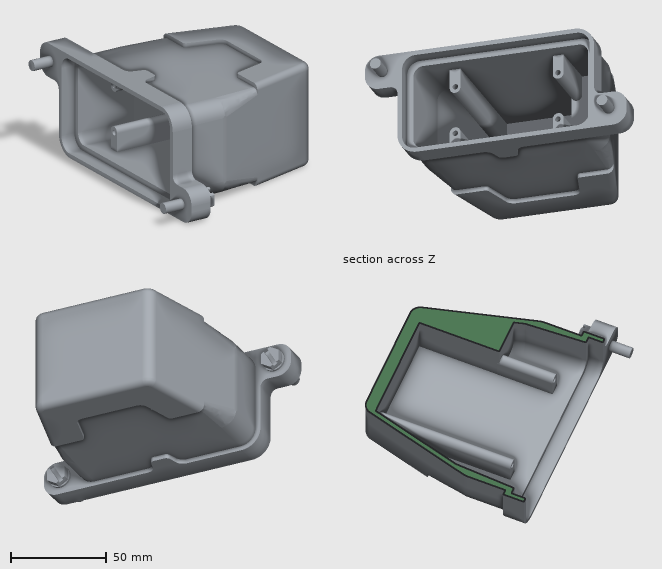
import cadquery as cq
import math


flange_half_x = 54.5
half_height = 29.0
flange_thickness = 12.0
flange_corner_radius = 10.9
ear_tip_x = 72.5
ear_height = 19.0
ear_corner_radius = 7.7
ear_root_radius = 4.0

tab_top_y = 22.0
tab_base_half_x = 7.7
tab_top_radius = 2.5
tab_root_radius = 4.8

taper_angle = 15.0
body_half_x = 51.6
body_half_z = 26.5
body_corner_radius = 8.7
bend_y = 34.7
bend_radius = 10.2
step_y = 59.3
step_corner_radius = 3.3
top_y = 100.3
top_corner_radius = 6.0
top_edge_radius = 3.3

notch_top_y = 80.2
notch_top_half_x = 19.5
notch_top_radius = 4.6
notch_root_radius = 2.2

mouth_half_x = 51.9
mouth_depth = 8.1
mouth_corner_radius = 7.2
cavity_half_x = 48.5
cavity_half_z = 23.3
cavity_corner_radius = 5.4
draft_angle = 3.0
cavity_bend_y = 42.0
deep_floor_y = 93.4
shallow_floor_y = 47.8
floor_step_x = 25.7

rib_x = 28.5
rib_width = 6.0
rib_tip_z = 9.9
rib_start_y = 17.5
rib_overlap = 1.5
rib_hole_x = 28.4
rib_hole_z = 13.3
rib_hole_diameter = 3.0
rib_hole_depth = 14.5

screw_x = 62.8
screw_z = 19.5
pin_diameter = 6.0
pin_length = 11.6
washer_diameter = 12.0
washer_thickness = 1.3
head_across_flats = 10.3
head_height = 4.0
head_sides = 6
slot_width = 2.5
slot_depth = 1.6
slot_angle = 60.0

taper = math.tan(math.radians(taper_angle))
draft = math.tan(math.radians(draft_angle))


def body_side_x(y):
    """Half width of the hood on its tapered stretch."""
    return body_half_x - (y - bend_y) * taper


def prism_z(points, z_low, z_high):
    """Extrude an outline in X and Y between two heights."""
    return cq.Workplane("XY").workplane(offset=z_low).polyline(points).close().extrude(z_high - z_low)


def plane_across(y):
    """Workplane across the hood axis with its local y along Z; negative extrusions run toward +Y."""
    return cq.Workplane("XZ", origin=(0, y, 0))


def box_between(x_range, y_range, z_range):
    """Box given by its low and high coordinates along each axis."""
    sizes = [high - low for low, high in (x_range, y_range, z_range)]
    corner = (x_range[0], y_range[0], z_range[0])
    return cq.Workplane("XY").box(*sizes, centered=False).translate(corner)


def rounded_bar(half_x, half_z, radius, y_low, y_high):
    """Bar along Y with a rounded rectangular section."""
    bar = box_between((-half_x, half_x), (y_low, y_high), (-half_z, half_z))
    return bar.edges("|Y").fillet(radius)


def cylinder_y(x, z, diameter, y_low, y_high):
    """Round bar along Y."""
    return plane_across(y_low).center(x, z).circle(diameter / 2).extrude(y_low - y_high)


def round_at(solid, points, axis, radius):
    """Fillet the edges parallel to the axis whose centres lie nearest to the given points."""
    for point in points:
        nearest = cq.selectors.NearestToPointSelector(point)
        solid = solid.edges(f"|{axis}").edges(nearest).fillet(radius)
    return solid


def make_flange():
    """Flat flange with two diagonally opposite ears."""
    ear_inner_z = half_height - ear_height
    outline = [
        (-ear_tip_x, half_height),
        (flange_half_x, half_height),
        (flange_half_x, -ear_inner_z),
        (ear_tip_x, -ear_inner_z),
        (ear_tip_x, -half_height),
        (-flange_half_x, -half_height),
        (-flange_half_x, ear_inner_z),
        (-ear_tip_x, ear_inner_z),
    ]
    flange = plane_across(0).polyline(outline).close().extrude(-flange_thickness)
    mid_y = flange_thickness / 2
    for side in (-1, 1):
        ear_corners = [(side * ear_tip_x, mid_y, -side * z) for z in (half_height, ear_inner_z)]
        flange = round_at(flange, ear_corners, "Y", ear_corner_radius)
        root = (side * flange_half_x, mid_y, -side * ear_inner_z)
        flange = round_at(flange, [root], "Y", ear_root_radius)
        corner = (side * flange_half_x, mid_y, side * half_height)
        flange = round_at(flange, [corner], "Y", flange_corner_radius)
    return flange


def make_tab():
    """Small raised tab in the middle of the flange rim, flush with both wide faces."""
    top_half_x = tab_base_half_x - (tab_top_y - flange_thickness) * taper
    outline = [
        (-flange_half_x, 0),
        (flange_half_x, 0),
        (flange_half_x, flange_thickness),
        (tab_base_half_x, flange_thickness),
        (top_half_x, tab_top_y),
        (-top_half_x, tab_top_y),
        (-tab_base_half_x, flange_thickness),
        (-flange_half_x, flange_thickness),
    ]
    tab = prism_z(outline, -half_height, half_height)
    tab = round_at(tab, [(s * top_half_x, tab_top_y, 0) for s in (-1, 1)], "Z", tab_top_radius)
    roots = [(s * tab_base_half_x, flange_thickness, 0) for s in (-1, 1)]
    tab = round_at(tab, roots, "Z", tab_root_radius)
    reach = tab_base_half_x + tab_root_radius
    window = box_between((-reach, reach), (0, tab_top_y), (-half_height, half_height))
    return tab.intersect(window)


def shoulder_section(y, half_x, radius):
    """Rounded rectangular wire across the hood at one place along Y."""
    return rounded_bar(half_x, body_half_z, radius, y, top_y).faces("<Y").wires().val()


def make_lower_body():
    """Straight skirt and tapered shoulders, whose corner rounding shrinks toward the step."""
    skirt = rounded_bar(body_half_x, body_half_z, body_corner_radius, 0, bend_y)
    shoulder_wires = [
        shoulder_section(bend_y, body_half_x, body_corner_radius),
        shoulder_section(step_y, body_side_x(step_y), step_corner_radius),
    ]
    shoulders = cq.Workplane(cq.Solid.makeLoft(shoulder_wires, True))
    outline = [
        (-body_half_x, 0),
        (body_half_x, 0),
        (body_half_x, bend_y),
        (body_side_x(step_y), step_y),
        (-body_side_x(step_y), step_y),
        (-body_half_x, bend_y),
    ]
    bent = prism_z(outline, -body_half_z, body_half_z)
    bent = round_at(bent, [(s * body_half_x, bend_y, 0) for s in (-1, 1)], "Z", bend_radius)
    return skirt.union(shoulders).intersect(bent)


def make_upper_body():
    """Thick closed end with rounded outer edges and a notch in both wide faces."""
    base_x = body_side_x(step_y)
    tip_x = body_side_x(top_y)
    outline = [(-base_x, step_y), (base_x, step_y), (tip_x, top_y), (-tip_x, top_y)]
    block = prism_z(outline, -half_height, half_height)
    block = block.edges("|Z and >Y").fillet(top_corner_radius)
    block = block.faces("<Z or >Z").edges("not <Y").fillet(top_edge_radius)

    root_x = notch_top_half_x + (notch_top_y - step_y) * taper
    notch_outline = [
        (-base_x, bend_y),
        (base_x, bend_y),
        (base_x, step_y),
        (root_x, step_y),
        (notch_top_half_x, notch_top_y),
        (-notch_top_half_x, notch_top_y),
        (-root_x, step_y),
        (-base_x, step_y),
    ]
    for z_low, z_high in ((-half_height, -body_half_z), (body_half_z, half_height)):
        z_mid = (z_low + z_high) / 2
        notch = prism_z(notch_outline, z_low, z_high)
        tops = [(s * notch_top_half_x, notch_top_y, z_mid) for s in (-1, 1)]
        roots = [(s * root_x, step_y, z_mid) for s in (-1, 1)]
        notch = round_at(notch, tops, "Z", notch_top_radius)
        notch = round_at(notch, roots, "Z", notch_root_radius)
        block = block.cut(notch)
    return block


def make_cavity():
    """Mouth recess, then a drafted and tapered room with a shallow floor on the +X side."""
    mouth = rounded_bar(mouth_half_x, body_half_z, mouth_corner_radius, 0, mouth_depth)
    bend_x = cavity_half_x - (cavity_bend_y - mouth_depth) * draft
    deep_x = bend_x - (deep_floor_y - cavity_bend_y) * taper
    outline = [
        (-cavity_half_x, mouth_depth),
        (cavity_half_x, mouth_depth),
        (bend_x, cavity_bend_y),
        (deep_x, deep_floor_y),
        (-deep_x, deep_floor_y),
        (-bend_x, cavity_bend_y),
    ]
    room = prism_z(outline, -cavity_half_z, cavity_half_z)
    room = room.faces("<Z or >Z").edges("not |X").fillet(cavity_corner_radius)
    floor_block = box_between(
        (floor_step_x, cavity_half_x),
        (shallow_floor_y, deep_floor_y),
        (-cavity_half_z, cavity_half_z),
    )
    return mouth.union(room.cut(floor_block))


def make_rib(side_x, side_z):
    """Round-tipped rib from a wide wall, sunk slightly into the cavity floor, with a blind hole."""
    round_z = rib_tip_z + rib_width / 2
    root_z = (cavity_half_z + body_half_z) / 2
    x = side_x * rib_x
    floor_y = shallow_floor_y if side_x > 0 else deep_floor_y
    end_y = floor_y + rib_overlap
    z_range = sorted((side_z * round_z, side_z * root_z))
    rib = box_between((x - rib_width / 2, x + rib_width / 2), (rib_start_y, end_y), z_range)
    rib = rib.union(cylinder_y(x, side_z * round_z, rib_width, rib_start_y, end_y))
    hole_end_y = rib_start_y + rib_hole_depth
    hole_x = side_x * rib_hole_x
    hole_z = side_z * rib_hole_z
    hole = cylinder_y(hole_x, hole_z, rib_hole_diameter, rib_start_y, hole_end_y)
    return rib.cut(hole)


def make_screw(x, z):
    """Pin, washer and slotted hexagon head of one screw, solid through the ear."""
    washer_top_y = flange_thickness + washer_thickness
    head_top_y = washer_top_y + head_height
    half_side_angle = 180 / head_sides
    across_corners = head_across_flats / math.cos(math.radians(half_side_angle))
    pin = cylinder_y(x, z, pin_diameter, -pin_length, flange_thickness)
    washer = cylinder_y(x, z, washer_diameter, flange_thickness, washer_top_y)
    head = plane_across(washer_top_y).center(x, z).transformed(rotate=(0, 0, half_side_angle))
    head = head.polygon(head_sides, across_corners).extrude(-head_height)
    slot = plane_across(head_top_y).center(x, z).transformed(rotate=(0, 0, slot_angle))
    slot = slot.rect(2 * across_corners, slot_width).extrude(slot_depth)
    return pin.union(washer).union(head.cut(slot))


result = make_lower_body().union(make_upper_body()).union(make_flange()).union(make_tab())
result = result.cut(make_cavity())
for side_x in (-1, 1):
    for side_z in (-1, 1):
        result = result.union(make_rib(side_x, side_z))
    result = result.union(make_screw(side_x * screw_x, -side_x * screw_z))